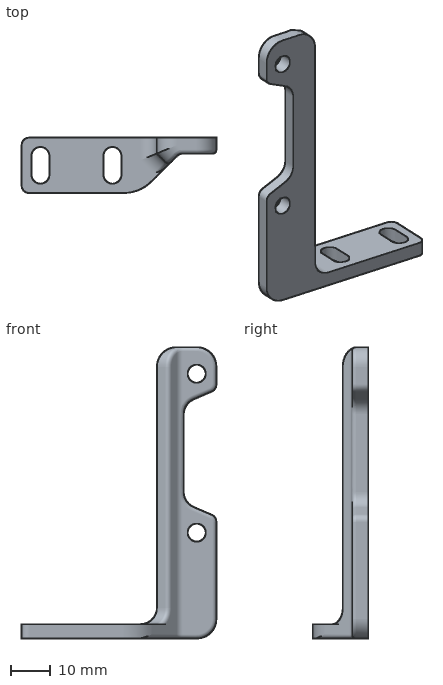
import cadquery as cq
import math

length = 49.0
depth = 14.0
height = 73.2

foot_thickness = 3.65
foot_corner_radius = 2.0
foot_front_radius = 10.0
slot_width = 4.5
slot_length = 9.15
slot_xs = (4.75, 22.85)
slot_y = -depth / 2

flange_thickness = 4.1
bend_x = 39.6
bend_radius = 2.0
upright_x = 34.0
side_depth = 4.0
corner_radius = 5.0
flare_radius = 4.0
edge_radius = 1.0

hole_diameter = 4.5
hole_x = 44.0
hole_mid_z = 46.55
hole_pitch = 39.9
notch_x = 40.8
notch_inner_half_height = 12.45
notch_outer_half_height = 15.95
notch_inner_radius = 4.0
notch_outer_radius = 2.0

foot_front_x = bend_x - (depth - flange_thickness)


def plan_prism(z_bottom, z_top):
    """Plan outline with a sharp front corner on the foot and a rounded bend."""
    points = [
        (0, 0),
        (length, 0),
        (length, -flange_thickness),
        (bend_x, -flange_thickness),
        (foot_front_x, -depth),
        (0, -depth),
    ]
    prism = cq.Workplane("XY").workplane(offset=z_bottom).polyline(points).close().extrude(z_top - z_bottom)
    bend = cq.selectors.NearestToPointSelector((bend_x, -flange_thickness, (z_bottom + z_top) / 2))
    return prism.edges(bend).fillet(bend_radius)


def upright_envelope(origin, normal):
    """L-shaped sweep space whose upright side face passes through X=0 of its own plane."""
    right_angle_mid = 1 - math.sqrt(0.5)
    crown_mid = corner_radius * right_angle_mid
    flare_mid = flare_radius * right_angle_mid
    reach = length + depth
    across = (-normal[1], normal[0], 0)
    return (
        cq.Workplane(cq.Plane(origin=origin, xDir=across, normal=normal))
        .moveTo(-reach, 0)
        .lineTo(reach, 0)
        .lineTo(reach, height)
        .lineTo(corner_radius, height)
        .threePointArc((crown_mid, height - crown_mid), (0, height - corner_radius))
        .lineTo(0, foot_thickness + flare_radius)
        .threePointArc((-flare_mid, foot_thickness + flare_mid), (-flare_radius, foot_thickness))
        .lineTo(-reach, foot_thickness)
        .close()
        .extrude(reach, both=True)
    )


def cut_notch(body):
    """Open the right edge between the holes, with smooth sloping ends."""
    points = [
        (length, hole_mid_z - notch_outer_half_height),
        (notch_x, hole_mid_z - notch_inner_half_height),
        (notch_x, hole_mid_z + notch_inner_half_height),
        (length, hole_mid_z + notch_outer_half_height),
    ]
    body = body.cut(cq.Workplane("XZ").polyline(points).close().extrude(depth))
    for side in (-1, 1):
        inner = (notch_x, -flange_thickness / 2, hole_mid_z + side * notch_inner_half_height)
        outer = (length, -flange_thickness / 2, hole_mid_z + side * notch_outer_half_height)
        body = body.edges(cq.selectors.NearestToPointSelector(inner)).fillet(notch_inner_radius)
        body = body.edges(cq.selectors.NearestToPointSelector(outer)).fillet(notch_outer_radius)
    return body


side_corner = (upright_x, -side_depth, 0)
diagonal = math.sqrt(0.5)
body = (
    plan_prism(0, height)
    .intersect(upright_envelope(side_corner, (0, -1, 0)))
    .intersect(upright_envelope(side_corner, (diagonal, -diagonal, 0)))
)

for z in (0, height):
    corner = cq.selectors.NearestToPointSelector((length, -flange_thickness / 2, z))
    body = body.edges(corner).fillet(corner_radius)
body = cut_notch(body)

bottom_edge = cq.selectors.NearestToPointSelector(((bend_x + length - corner_radius) / 2, -flange_thickness, 0))
body = body.edges(bottom_edge).fillet(edge_radius)

foot_band = plan_prism(edge_radius, foot_thickness)
foot_clip = cq.Workplane("XY").box(upright_x + flare_radius, depth, height, centered=False).translate((0, -depth, 0))
body = body.union(foot_band.intersect(foot_clip))

foot_outline = plan_prism(0, height).edges("|Z and <X").fillet(foot_corner_radius)
front_corner = cq.selectors.NearestToPointSelector((foot_front_x, -depth, height / 2))
foot_outline = foot_outline.edges(front_corner).fillet(foot_front_radius)
body = body.intersect(foot_outline)

slots = (
    cq.Workplane("XY")
    .pushPoints([(x, slot_y) for x in slot_xs])
    .slot2D(slot_length, slot_width, 90)
    .extrude(foot_thickness)
)

holes = (
    cq.Workplane("XZ")
    .pushPoints([(hole_x, hole_mid_z + side * hole_pitch / 2) for side in (-1, 1)])
    .circle(hole_diameter / 2)
    .extrude(flange_thickness)
)

result = body.cut(slots).cut(holes)